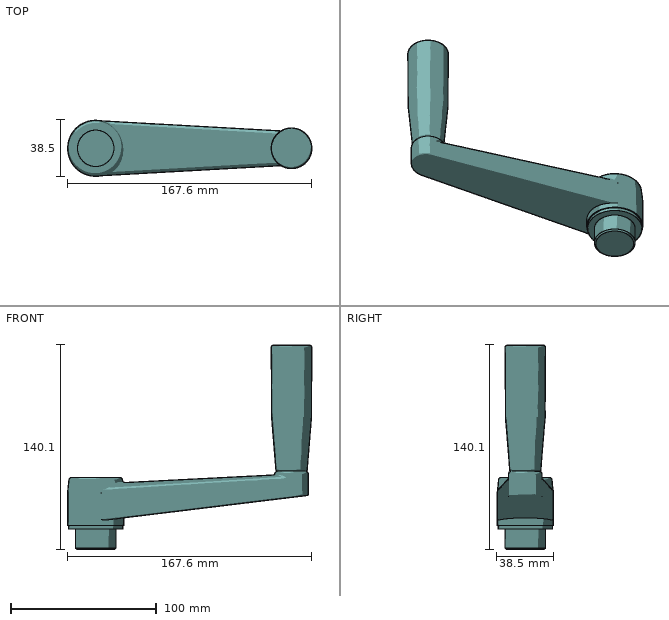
import cadquery as cq
import math

OVERALL_LENGTH = 167.6
OVERALL_HEIGHT = 140.1

HUB_RADIUS = 38.5 / 2
HUB_BOTTOM_Z = 13.9
HUB_TOP_Z = 49.5
HUB_FOOT_RADIUS = 37.4 / 2
HUB_FOOT_HEIGHT = 2.5
HUB_BLEND_START_Z = 38.7
HUB_BLEND_RADIUS = 20.1
HUB_TAPER_ANGLE = math.radians(6)
HUB_RIM_ROUND = 2.0

SPIGOT_RADIUS = 28.0 / 2
SPIGOT_CHAMFER = 1.0

RECESS_RADIUS = 25.0 / 2
RECESS_DEPTH = 5.0

HANDLE_TOP_RADIUS = 28.0 / 2
HANDLE_SHOULDER_RADIUS = 13.7
HANDLE_SHOULDER_Z = 90.5
HANDLE_BOTTOM_RADIUS = 10.7
HANDLE_TOP_ROUND = 1.7
HANDLE_BOTTOM_ROUND = 1.2
HANDLE_X = OVERALL_LENGTH - HUB_RADIUS - HANDLE_TOP_RADIUS

BOSS_RADIUS = 11.5
BOSS_TOP_Z = 53.6
BOSS_RIM_ROUND = 2.0

ARM_HUB_HALF_WIDTH = 19.1
ARM_HUB_BOTTOM_Z = 19.3
ARM_HUB_CREST_Z = 45.0
ARM_HUB_CROWN = 3.7
ARM_END_BOTTOM_Z = 35.7
ARM_END_CREST_Z = 51.8
ARM_END_CROWN = 2.0
ARM_TOP_ROUND = 3.0
ARM_BOTTOM_ROUND = 1.0
HUB_ROOT_FILLET = 1.7
BOSS_ROOT_FILLET = 1.3

ARM_SIDE_ANGLE = (
    math.acos(BOSS_RADIUS / math.hypot(HANDLE_X, ARM_HUB_HALF_WIDTH))
    - math.atan2(HANDLE_X, ARM_HUB_HALF_WIDTH)
)
ARM_END_X = HANDLE_X + BOSS_RADIUS * math.sin(ARM_SIDE_ANGLE)
ARM_END_HALF_WIDTH = BOSS_RADIUS * math.cos(ARM_SIDE_ANGLE)
ARM_BOTTOM_SLOPE = (ARM_END_BOTTOM_Z - ARM_HUB_BOTTOM_Z) / ARM_END_X
ARM_CREST_SLOPE = (ARM_END_CREST_Z - ARM_HUB_CREST_Z) / ARM_END_X

EDGE_MARGIN = 0.5


def edges_centred_in(body, x_range, z_range):
    """Edges whose centre lies inside the given X and Z ranges, at any Y."""
    return body.edges(
        cq.selectors.BoxSelector(
            (x_range[0], -HUB_RADIUS, z_range[0]),
            (x_range[1], HUB_RADIUS, z_range[1]),
        )
    )


def arm_section(x, half_width, bottom_z, crest_z, crown):
    """Arm cross-section at x: flat bottom, upright sides and a crowned top."""
    edge_z = crest_z - crown
    return (
        cq.Workplane("YZ", origin=(x, 0, 0))
        .moveTo(-half_width, bottom_z)
        .lineTo(half_width, bottom_z)
        .lineTo(half_width, edge_z)
        .threePointArc((0, crest_z), (-half_width, edge_z))
        .close()
        .val()
    )


def make_hub_body():
    """Straight part of the hub with its stepped-in foot and the chamfered spigot."""
    body = (
        cq.Workplane("XZ")
        .moveTo(0, HUB_BOTTOM_Z)
        .lineTo(HUB_FOOT_RADIUS, HUB_BOTTOM_Z)
        .lineTo(HUB_FOOT_RADIUS, HUB_BOTTOM_Z + HUB_FOOT_HEIGHT)
        .lineTo(HUB_RADIUS, HUB_BOTTOM_Z + HUB_FOOT_HEIGHT)
        .lineTo(HUB_RADIUS, HUB_BLEND_START_Z)
        .lineTo(0, HUB_BLEND_START_Z)
        .close()
        .revolve(360, (0, 0), (0, 1))
    )
    spigot = cq.Workplane("XY").circle(SPIGOT_RADIUS).extrude(HUB_BOTTOM_Z)
    spigot = spigot.faces("<Z").edges().chamfer(SPIGOT_CHAMFER)
    return body.union(spigot)


def make_hub_head():
    """Tapered upper part of the hub, blended from the cylinder and rounded at the rim."""
    blend_end_radius = HUB_RADIUS - HUB_BLEND_RADIUS * (1 - math.cos(HUB_TAPER_ANGLE))
    blend_end_z = HUB_BLEND_START_Z + HUB_BLEND_RADIUS * math.sin(HUB_TAPER_ANGLE)
    top_radius = blend_end_radius - (HUB_TOP_Z - blend_end_z) * math.tan(HUB_TAPER_ANGLE)
    blend_mid_radius = HUB_RADIUS - HUB_BLEND_RADIUS * (1 - math.cos(HUB_TAPER_ANGLE / 2))
    blend_mid_z = HUB_BLEND_START_Z + HUB_BLEND_RADIUS * math.sin(HUB_TAPER_ANGLE / 2)
    head = (
        cq.Workplane("XZ")
        .moveTo(0, HUB_BLEND_START_Z)
        .lineTo(HUB_RADIUS, HUB_BLEND_START_Z)
        .threePointArc((blend_mid_radius, blend_mid_z), (blend_end_radius, blend_end_z))
        .lineTo(top_radius, HUB_TOP_Z)
        .lineTo(0, HUB_TOP_Z)
        .close()
        .revolve(360, (0, 0), (0, 1))
    )
    return head.faces(">Z").edges().fillet(HUB_RIM_ROUND)


def make_arm():
    """Tapered arm between the hub axis and the boss, with rounded upper edges."""
    sections = [
        arm_section(0, ARM_HUB_HALF_WIDTH, ARM_HUB_BOTTOM_Z, ARM_HUB_CREST_Z, ARM_HUB_CROWN),
        arm_section(ARM_END_X, ARM_END_HALF_WIDTH, ARM_END_BOTTOM_Z, ARM_END_CREST_Z, ARM_END_CROWN),
    ]
    arm = cq.Workplane(cq.Solid.makeLoft(sections, True))
    mid_x = ARM_END_X / 2
    mid_height = (ARM_HUB_BOTTOM_Z + ARM_END_CREST_Z) / 2
    upper_edges = edges_centred_in(
        arm,
        (mid_x - EDGE_MARGIN, mid_x + EDGE_MARGIN),
        (mid_height, ARM_END_CREST_Z),
    )
    return upper_edges.fillet(ARM_TOP_ROUND)


def make_boss():
    """Upright boss whose lower face follows the sloping underside of the arm."""
    left_x = HANDLE_X - BOSS_RADIUS
    right_x = HANDLE_X + BOSS_RADIUS
    side_profile = (
        cq.Workplane("XZ")
        .moveTo(left_x, ARM_HUB_BOTTOM_Z + ARM_BOTTOM_SLOPE * left_x)
        .lineTo(right_x, ARM_HUB_BOTTOM_Z + ARM_BOTTOM_SLOPE * right_x)
        .lineTo(right_x, BOSS_TOP_Z)
        .lineTo(left_x, BOSS_TOP_Z)
        .close()
        .extrude(BOSS_RADIUS, both=True)
    )
    cylinder = cq.Workplane("XY").center(HANDLE_X, 0).circle(BOSS_RADIUS).extrude(BOSS_TOP_Z)
    return cylinder.intersect(side_profile)


def make_lever():
    """Arm and boss as one piece, with the rim, root and underside rounded."""
    lever = make_arm().union(make_boss())
    boss_rim = edges_centred_in(
        lever,
        (HANDLE_X - EDGE_MARGIN, HANDLE_X + EDGE_MARGIN),
        (BOSS_TOP_Z - EDGE_MARGIN, BOSS_TOP_Z + EDGE_MARGIN),
    )
    lever = boss_rim.fillet(BOSS_RIM_ROUND)
    boss_root = edges_centred_in(
        lever,
        (HANDLE_X - BOSS_RADIUS - EDGE_MARGIN, ARM_END_X - EDGE_MARGIN),
        (ARM_END_CREST_Z - ARM_END_CROWN - ARM_TOP_ROUND, ARM_END_CREST_Z),
    )
    lever = boss_root.fillet(BOSS_ROOT_FILLET)
    underside = edges_centred_in(
        lever,
        (EDGE_MARGIN, OVERALL_LENGTH),
        (ARM_HUB_BOTTOM_Z, ARM_END_BOTTOM_Z + BOSS_RADIUS * ARM_BOTTOM_SLOPE),
    )
    return underside.fillet(ARM_BOTTOM_ROUND)


def make_crank():
    """One-piece crank: hub, spigot, arm and boss."""
    crank = make_lever().union(make_hub_head())
    hub_root = edges_centred_in(
        crank,
        (HUB_RADIUS / 2, HUB_RADIUS),
        (ARM_HUB_CREST_Z - ARM_HUB_CROWN, ARM_HUB_CREST_Z + HUB_RADIUS * ARM_CREST_SLOPE),
    )
    crank = hub_root.fillet(HUB_ROOT_FILLET).union(make_hub_body())

    recess = (
        cq.Workplane("XY", origin=(0, 0, HUB_TOP_Z - RECESS_DEPTH))
        .circle(RECESS_RADIUS)
        .extrude(RECESS_DEPTH)
    )
    return crank.cut(recess).solids()


def make_handle():
    """Turned grip standing on the boss."""
    handle = (
        cq.Workplane("XZ", origin=(HANDLE_X, 0, 0))
        .moveTo(0, BOSS_TOP_Z)
        .lineTo(HANDLE_BOTTOM_RADIUS, BOSS_TOP_Z)
        .lineTo(HANDLE_SHOULDER_RADIUS, HANDLE_SHOULDER_Z)
        .lineTo(HANDLE_TOP_RADIUS, OVERALL_HEIGHT)
        .lineTo(0, OVERALL_HEIGHT)
        .close()
        .revolve(360, (0, 0), (0, 1))
    )
    handle = handle.faces(">Z").edges().fillet(HANDLE_TOP_ROUND)
    return handle.faces("<Z").edges().fillet(HANDLE_BOTTOM_ROUND)


crank = make_crank()
handle = make_handle()

result = cq.Compound.makeCompound([crank.val(), handle.val()])